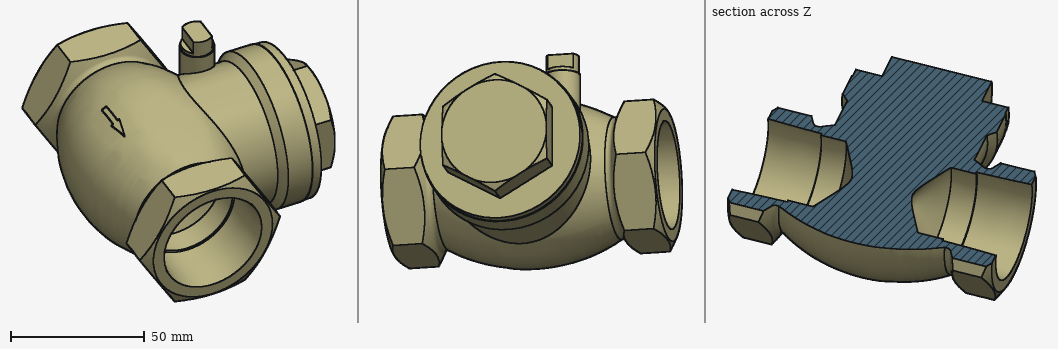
import cadquery as cq
import math


length = 105.0
half_length = length / 2
barrel_radius = 32.0

end_flats = 50.8
end_corner_radius = end_flats / math.sqrt(3)
end_face_radius = 24.9
end_bevel_angle = math.radians(60)
end_back_bevel_x = 36.4

neck_radius = 23.0
neck_fillet = 2.1
neck_inner_x = 33.0

bore_mouth_radius = 20.4
taper_end_radius = 19.6
taper_depth = 21.6
plain_bore_radius = 18.8
plain_bore_length = 10.0
drill_point_angle = math.radians(120)

branch_radius = 28.1
collar_radius = 31.0
collar_bevel_start = 39.1
collar_bevel_end = 42.1
flange_start = 52.3
flange_radius = 30.7
cap_base = 56.1
cap_top = 67.0
cap_flats = 39.9
cap_bevel_depth = 1.7
cap_bevel_angle = math.radians(60)

pin_x = -18.0
pin_y = 28.0
pin_radius = 6.6
pin_head_radius = 6.2
pin_step_z = 32.9
pin_flats_z = 34.3
pin_top_z = 39.9
pin_flats_width = 7.8

arrow_height = 0.3
arrow_tail_x = -6.7
arrow_neck_x = 2.9
arrow_tip_x = 10.9
arrow_y = -16.4
arrow_shaft_width = 1.9
arrow_head_width = 3.4


def revolve_x(outline):
    """Close an XY outline and revolve it about the X axis."""
    return outline.close().revolve(360, (0, 0, 0), (1, 0, 0))


def revolve_y(outline):
    """Close an XY outline and revolve it about the Y axis."""
    return outline.close().revolve(360, (0, 0, 0), (0, 1, 0))


slope = math.tan(end_bevel_angle)
neck_corner_x = end_back_bevel_x - (end_flats / 2 - neck_radius) / slope
tangent_length = neck_fillet * math.tan(end_bevel_angle / 2)
fillet_start_x = neck_corner_x + tangent_length * math.cos(end_bevel_angle)
fillet_start_radius = neck_radius + tangent_length * math.sin(end_bevel_angle)
fillet_end_x = neck_corner_x - tangent_length


def barrel(crown_radius):
    """Barrel of the given largest radius, with a filleted neck at each end."""
    return revolve_x(
        cq.Workplane("XY")
        .moveTo(-fillet_start_x, 0)
        .lineTo(-fillet_start_x, fillet_start_radius)
        .radiusArc((-fillet_end_x, neck_radius), -neck_fillet)
        .lineTo(-neck_inner_x, neck_radius)
        .threePointArc((0, crown_radius), (neck_inner_x, neck_radius))
        .lineTo(fillet_end_x, neck_radius)
        .radiusArc((fillet_start_x, fillet_start_radius), -neck_fillet)
        .lineTo(fillet_start_x, 0)
    )


def hex_end():
    """Bevelled hexagon at the -X end."""
    front_bevel = (end_corner_radius - end_face_radius) / slope
    rear_bevel = (end_corner_radius - fillet_start_radius) / slope
    blank = revolve_x(
        cq.Workplane("XY")
        .moveTo(-half_length, 0)
        .lineTo(-half_length, end_face_radius)
        .lineTo(-half_length + front_bevel, end_corner_radius)
        .lineTo(-fillet_start_x - rear_bevel, end_corner_radius)
        .lineTo(-fillet_start_x, fillet_start_radius)
        .lineTo(-fillet_start_x, 0)
    )
    hexagon = (
        cq.Workplane("YZ", origin=(-half_length, 0, 0))
        .polygon(6, 2 * end_corner_radius)
        .extrude(half_length - fillet_start_x)
    )
    return blank.intersect(hexagon)


def bore():
    """Blind bore from the -X end: a taper, a narrow ledge, a plain bore and a conical bottom."""
    ledge_x = -half_length + taper_depth
    floor_x = ledge_x + plain_bore_length
    tip_x = floor_x + plain_bore_radius / math.tan(drill_point_angle / 2)
    return revolve_x(
        cq.Workplane("XY")
        .moveTo(-half_length, 0)
        .lineTo(-half_length, bore_mouth_radius)
        .lineTo(ledge_x, taper_end_radius)
        .lineTo(ledge_x, plain_bore_radius)
        .lineTo(floor_x, plain_bore_radius)
        .lineTo(tip_x, 0)
    )


def bonnet():
    """Branch, bevelled collar and flange as one turned shape about Y."""
    return revolve_y(
        cq.Workplane("XY")
        .lineTo(branch_radius, 0)
        .lineTo(branch_radius, collar_bevel_start)
        .lineTo(collar_radius, collar_bevel_end)
        .lineTo(collar_radius, flange_start)
        .lineTo(flange_radius, flange_start)
        .lineTo(flange_radius, cap_base)
        .lineTo(0, cap_base)
    )


def cap():
    """Hexagonal cap with corners on +Z and -Z and a bevelled outer face."""
    corner_radius = cap_flats / math.sqrt(3)
    top_radius = corner_radius - cap_bevel_depth * math.tan(cap_bevel_angle)
    blank = revolve_y(
        cq.Workplane("XY")
        .moveTo(0, cap_base)
        .lineTo(corner_radius, cap_base)
        .lineTo(corner_radius, cap_top - cap_bevel_depth)
        .lineTo(top_radius, cap_top)
        .lineTo(0, cap_top)
    )
    hexagon = (
        cq.Workplane("XZ", origin=(0, cap_top, 0))
        .transformed(rotate=(0, 0, 90))
        .polygon(6, 2 * corner_radius)
        .extrude(cap_top - cap_base)
    )
    return blank.intersect(hexagon)


def stop_pin():
    """Stepped round pin with two flats on its tip."""
    plane = cq.Workplane("XY", origin=(pin_x, pin_y, 0))
    shank = plane.circle(pin_radius).extrude(pin_step_z)
    head = plane.circle(pin_head_radius).extrude(pin_flats_z)
    tip = (
        plane.circle(pin_head_radius)
        .extrude(pin_top_z)
        .intersect(plane.rect(2 * pin_head_radius, pin_flats_width).extrude(pin_top_z))
    )
    return shank.union(head).union(tip)


def flow_arrow():
    """Arrow pointing to +X, raised slightly above the top of the barrel."""
    shaft = arrow_shaft_width / 2
    head = arrow_head_width / 2
    prism = (
        cq.Workplane("XY", origin=(0, arrow_y, 0))
        .moveTo(arrow_tail_x, -shaft)
        .lineTo(arrow_neck_x, -shaft)
        .lineTo(arrow_neck_x, -head)
        .lineTo(arrow_tip_x, 0)
        .lineTo(arrow_neck_x, head)
        .lineTo(arrow_neck_x, shaft)
        .lineTo(arrow_tail_x, shaft)
        .close()
        .extrude(barrel_radius + arrow_height)
    )
    return prism.intersect(barrel(barrel_radius + arrow_height))


result = barrel(barrel_radius).union(bonnet()).union(cap()).union(stop_pin()).union(flow_arrow())
for end in (hex_end(), hex_end().mirror("YZ")):
    result = result.union(end)
for hole in (bore(), bore().mirror("YZ")):
    result = result.cut(hole)